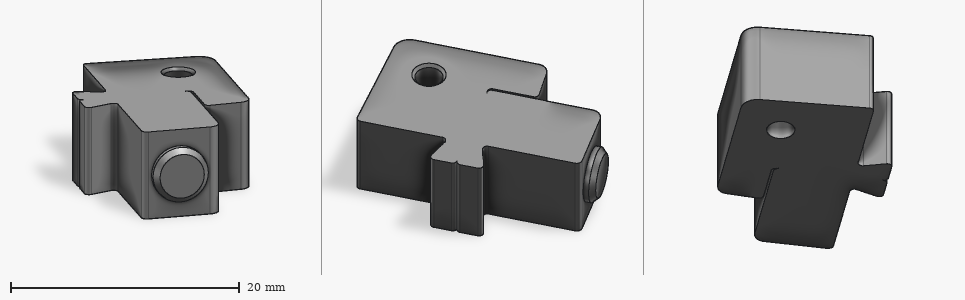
import cadquery as cq
import math

thickness = 8.0
body_height = 11.5
left_reach = 10.0
right_reach = 10.5
draft = math.tan(math.radians(3.0))

block_height = 7.1
slot_width = 0.2
slot_top = block_height + slot_width
arm_reach = 4.5

foot_depth = 3.0
foot_root_half_width = 1.55
foot_flare = math.tan(math.radians(18.5))
foot_tip_half_width = foot_root_half_width + foot_depth * foot_flare

small_radius = 0.4
block_bottom_radius = 0.5
large_radius = 1.0
back_radius = 1.5

hole_x = -5.5
hole_y = 7.5
hole_diameter = 2.46
hole_mouth_diameter = 3.0
countersink_angle = 90.0

boss_diameter = 5.0
boss_length = 1.0
boss_chamfer = 0.5
boss_y = 3.3


def rounded_plate(corners):
    """Extrude an outline of (x, y, radius) corners and round its upright edges."""
    plate = cq.Workplane("XY").polyline([(x, y) for x, y, _ in corners]).close().extrude(thickness)
    for x, y, radius in corners:
        edge_middle = (x, y, thickness / 2)
        plate = plate.edges(cq.NearestToPointSelector(edge_middle)).fillet(radius)
    return plate


def foot_half(side):
    """Corners of half the dovetail, from the body underside to the joint; side is -1 left or +1 right."""
    return [
        (side * foot_root_half_width, 0, small_radius),
        (side * foot_tip_half_width, -foot_depth, small_radius),
        (0, -foot_depth, small_radius),
    ]


def left_half():
    """Tall half with the arm that reaches over the lower block."""
    arm_end_at_top = arm_reach - (body_height - slot_top) * draft
    return rounded_plate([
        (-left_reach, 0, small_radius),
        *foot_half(-1),
        (0, slot_top, small_radius),
        (arm_reach, slot_top, small_radius),
        (arm_end_at_top, body_height, large_radius),
        (-left_reach + body_height * draft, body_height, back_radius),
    ])


def right_half():
    """Lower block below the arm."""
    return rounded_plate([
        (right_reach, 0, block_bottom_radius),
        *foot_half(1),
        (0, block_height, small_radius),
        (right_reach, block_height, large_radius),
    ])


def boss():
    return (
        cq.Workplane("YZ", origin=(right_reach, boss_y, thickness / 2))
        .circle(boss_diameter / 2)
        .extrude(boss_length)
        .faces(">X")
        .chamfer(boss_chamfer)
    )


def drill_hole(body):
    """Through hole, countersunk at the top face."""
    return (
        body.faces(">Z")
        .workplane(origin=(hole_x, hole_y, thickness))
        .cskHole(hole_diameter, hole_mouth_diameter, countersink_angle)
    )


result = drill_hole(left_half().union(right_half()).union(boss()))